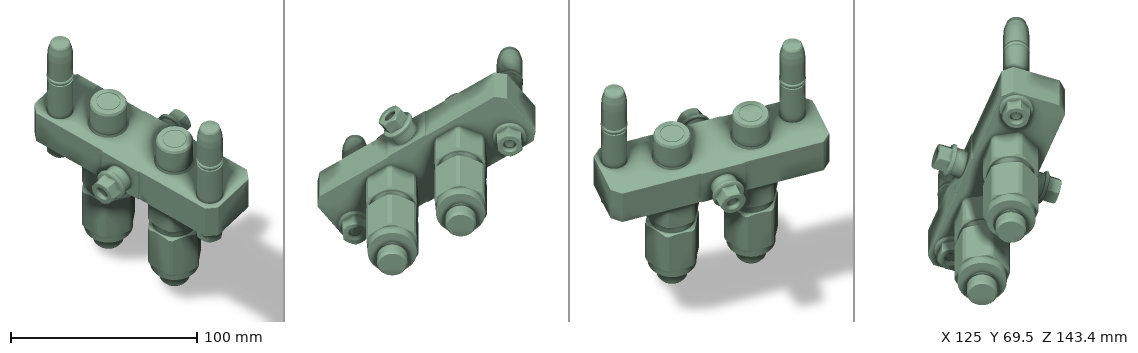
import cadquery as cq
import math

plate_length = 125.0
plate_width = 36.5
plate_thickness = 22.0
corner_cut = 5.0
edge_break = 0.2
pad_length = 25.0
pad_height = 0.5

left_pin_x = -49.1
pin_spacing = 101.8
pin_y = -8.0
pin_radius = 7.0
pin_height = 52.2
pin_taper_start = 42.4
pin_taper_middle = 47.2
pin_taper_middle_radius = 6.5
pin_taper_end = 51.4
pin_taper_end_radius = 5.4
pin_tip_radius = 4.7
pin_relief = 0.6
ring_groove_height = 26.7
ring_groove_width = 4.2
ring_groove_radius = 6.4
ring_outer_radius = 7.25
ring_section_radius = 1.1

nut_height = 9.25
nut_across_flats = 13.0
nut_flange_radius = 8.95
nut_flange_foot_chamfer = 0.4
nut_flange_rim_top = 1.5
nut_flange_shoulder_radius = 8.3
nut_flange_shoulder_height = 2.0
nut_cone_radius = 6.4
nut_cone_height = 2.45
nut_end_radius = 6.55
nut_crown_height = 0.85
nut_bore_radius = 3.35
nut_bore_countersink = 0.75
stud_end_depth = 2.0
stud_end_chamfer = 1.0

stud_z = 10.0
stud_radius = 4.0
stud_length = 69.5
spool_radius = 7.5
spool_chamfer = 0.4

coupling_spacing = 45.0
shank_radius = 10.4
shank_groove_radius = 9.5
shank_groove_height = 1.3
shank_countersink = 0.8
spigot_radius = 10.0
spigot_height = 16.5
spigot_chamfer = 0.7
spigot_chamfer_height = 1.3
poppet_radius = 6.1
poppet_gap_radius = 6.6
poppet_gap_depth = 0.4

hex_across_flats = 27.0
hex_corner_radius = 15.0
hex_end_radius = 13.6
hex_foot_radius = 14.2
upper_hex_bottom = -19.6
lower_hex_top = -25.1
lower_hex_bottom = -52.7
waist_radius = 12.5
collar_radius = 13.25
collar_bottom = -58.2
collar_chamfer = 0.2

tail_bottom = -69.2
tail_radius = 8.2
tail_end_radius = 7.2
tail_bottom_chamfer_height = 1.4
tail_top_chamfer_height = 1.1
tail_length = 8.0
tail_shoulder_radius = 6.9
tail_shoulder_length = 1.0
tail_neck_radius = 6.5

pin_xs = [left_pin_x, left_pin_x + pin_spacing]
coupling_xs = [-coupling_spacing / 2, coupling_spacing / 2]
pad_face_y = plate_width / 2 + pad_height
spool_length = stud_length / 2 - nut_height - pad_face_y
crown_slope = math.tan(math.radians(30))


def cylinder(radius, bottom, top):
    """Round bar on the Z axis between two heights."""
    return cq.Workplane("XY").workplane(offset=bottom).circle(radius).extrude(top - bottom)


def revolved(outline):
    """Turn a closed (radius, height) outline about the Z axis."""
    return cq.Workplane("XZ").polyline(outline).close().revolve(360, (0, 0, 0), (0, 1, 0))


def hexagon(across_flats, outline):
    """Hexagon bar with corners on X, trimmed to a turned (radius, height) outline."""
    heights = [height for _, height in outline]
    corner_diameter = across_flats / math.cos(math.radians(30))
    bar = cq.Workplane("XY").workplane(offset=min(heights)).polygon(6, corner_diameter)
    return bar.extrude(max(heights) - min(heights)).intersect(revolved(outline))


def crown_height(corner_radius, end_radius):
    """Height of the cone that turns the corners of a hexagon down to its end radius."""
    return (corner_radius - end_radius) * crown_slope


def flange_nut():
    """Flange nut seated at Z = 0 and pointing up, its bore closed by a recessed stud end."""
    flange = revolved([
        (0, 0),
        (nut_flange_radius - nut_flange_foot_chamfer, 0),
        (nut_flange_radius, nut_flange_foot_chamfer),
        (nut_flange_radius, nut_flange_rim_top),
        (nut_flange_shoulder_radius, nut_flange_shoulder_height),
        (nut_cone_radius, nut_cone_height),
        (0, nut_cone_height),
    ])
    corner_radius = nut_across_flats / 2 / math.cos(math.radians(30))
    head = hexagon(nut_across_flats, [
        (0, 0),
        (corner_radius, 0),
        (corner_radius, nut_height - nut_crown_height),
        (nut_end_radius, nut_height),
        (0, nut_height),
    ])
    stud_end = nut_height - stud_end_depth
    bore = revolved([
        (0, nut_height),
        (nut_bore_radius + nut_bore_countersink, nut_height),
        (nut_bore_radius, nut_height - nut_bore_countersink),
        (nut_bore_radius, stud_end - stud_end_chamfer),
        (nut_bore_radius - stud_end_chamfer, stud_end),
        (0, stud_end),
    ])
    return flange.union(head).cut(bore)


def guide_pin():
    """Round pin standing on Z = 0 with a tapered tip and a sealing ring in a groove."""
    groove_bottom = ring_groove_height - ring_groove_width / 2
    groove_top = ring_groove_height + ring_groove_width / 2
    shaft = (
        cq.Workplane("XZ")
        .moveTo(0, 0)
        .lineTo(pin_radius, 0)
        .lineTo(pin_radius, groove_bottom)
        .lineTo(ring_groove_radius, groove_bottom)
        .lineTo(ring_groove_radius, groove_top)
        .lineTo(pin_radius, groove_top)
        .lineTo(pin_radius, pin_taper_start)
        .tangentArcPoint((pin_taper_middle_radius, pin_taper_middle), relative=False)
        .lineTo(pin_taper_end_radius, pin_taper_end)
        .lineTo(pin_tip_radius, pin_height)
        .lineTo(0, pin_height)
        .close()
        .revolve(360, (0, 0, 0), (0, 1, 0))
    )
    seal_ring = (
        cq.Workplane("XZ")
        .center(ring_outer_radius - ring_section_radius, ring_groove_height)
        .circle(ring_section_radius)
        .revolve(360, (ring_section_radius - ring_outer_radius, 0, 0),
                 (ring_section_radius - ring_outer_radius, 1, 0))
    )
    return shaft.union(seal_ring)


def plate_blank():
    """Corner-cut plate with a low pad on each long side and lightly broken edges."""
    body = (
        cq.Workplane("XY")
        .rect(plate_length, plate_width)
        .extrude(plate_thickness)
        .edges("|Z")
        .chamfer(corner_cut)
    )
    pads = cq.Workplane("XY").rect(pad_length, 2 * pad_face_y).extrude(plate_thickness)
    return body.union(pads).faces("<Z or >Z").edges().chamfer(edge_break)


def countersunk_hole(radius, depth):
    """Through hole on the Z axis, countersunk at the top face of the plate."""
    return revolved([
        (0, 0),
        (radius, 0),
        (radius, plate_thickness - depth),
        (radius + depth, plate_thickness),
        (0, plate_thickness),
    ])


def build_plate():
    plate = plate_blank()
    for x in coupling_xs:
        plate = plate.cut(countersunk_hole(shank_radius, shank_countersink).translate((x, 0, 0)))
    stud_hole = cq.Workplane("XZ").center(0, stud_z).circle(stud_radius).extrude(pad_face_y, both=True)
    plate = plate.cut(stud_hole)

    pin_core = cylinder(pin_radius, 0, plate_thickness)
    pin_relief_groove = countersunk_hole(pin_radius, pin_relief).cut(pin_core)
    nut = flange_nut().rotate((0, 0, 0), (1, 0, 0), 180)
    for x in pin_xs:
        plate = plate.cut(pin_relief_groove.translate((x, pin_y, 0)))
        plate = plate.union(guide_pin().translate((x, pin_y, plate_thickness)))
        plate = plate.union(nut.translate((x, pin_y, 0)))
    return plate


def spool_and_nut():
    """Spool and flange nut standing on Z = 0."""
    spool = cylinder(spool_radius, 0, spool_length).faces("<Z or >Z").edges().chamfer(spool_chamfer)
    return spool.union(flange_nut().translate((0, 0, spool_length)))


def build_cross_stud():
    stud = cq.Workplane("XZ").circle(stud_radius).extrude(pad_face_y, both=True)
    for side in (-1, 1):
        end = spool_and_nut().rotate((0, 0, 0), (1, 0, 0), -90 * side)
        stud = stud.union(end.translate((0, side * pad_face_y, 0)))
    return stud.translate((0, 0, stud_z))


def coupling_top():
    """Shank through the plate and the spigot above it, with the poppet in its end face."""
    groove_top = plate_thickness + shank_groove_height
    top = plate_thickness + spigot_height
    shank_chamfer = shank_radius - shank_groove_radius
    body = revolved([
        (0, 0),
        (shank_radius, 0),
        (shank_radius, plate_thickness - shank_chamfer),
        (shank_groove_radius, plate_thickness),
        (shank_groove_radius, groove_top),
        (spigot_radius, groove_top),
        (spigot_radius, top - spigot_chamfer_height),
        (spigot_radius - spigot_chamfer, top),
        (0, top),
    ])
    gap = cylinder(poppet_gap_radius, top - poppet_gap_depth, top)
    gap = gap.cut(cylinder(poppet_radius, top - poppet_gap_depth, top))
    return body.cut(gap)


def upper_hexagon():
    """Hexagon against the plate underside, crowned at its lower end only."""
    return hexagon(hex_across_flats, [
        (0, upper_hex_bottom),
        (hex_end_radius, upper_hex_bottom),
        (hex_corner_radius, upper_hex_bottom + crown_height(hex_corner_radius, hex_end_radius)),
        (hex_corner_radius, 0),
        (0, 0),
    ])


def lower_hexagon():
    """Hexagon between the waist and the collar, crowned at both ends."""
    return hexagon(hex_across_flats, [
        (0, lower_hex_bottom),
        (hex_foot_radius, lower_hex_bottom),
        (hex_corner_radius, lower_hex_bottom + crown_height(hex_corner_radius, hex_foot_radius)),
        (hex_corner_radius, lower_hex_top - crown_height(hex_corner_radius, hex_end_radius)),
        (hex_end_radius, lower_hex_top),
        (0, lower_hex_top),
    ])


def coupling_tail():
    """Collar, necked stem and chamfered end below the lower hexagon."""
    tail_top = tail_bottom + tail_length
    shoulder_bottom = collar_bottom - tail_shoulder_length
    return revolved([
        (0, lower_hex_bottom),
        (collar_radius, lower_hex_bottom),
        (collar_radius, collar_bottom + collar_chamfer),
        (collar_radius - collar_chamfer, collar_bottom),
        (tail_shoulder_radius, collar_bottom),
        (tail_shoulder_radius, shoulder_bottom),
        (tail_neck_radius, shoulder_bottom),
        (tail_neck_radius, tail_top),
        (tail_end_radius, tail_top),
        (tail_radius, tail_top - tail_top_chamfer_height),
        (tail_radius, tail_bottom + tail_bottom_chamfer_height),
        (tail_end_radius, tail_bottom),
        (0, tail_bottom),
    ])


def build_coupling():
    waist = cylinder(waist_radius, lower_hex_top, upper_hex_bottom)
    sections = [upper_hexagon(), waist, lower_hexagon(), coupling_tail()]
    coupling = coupling_top()
    for section in sections:
        coupling = coupling.union(section)
    return coupling


plate = build_plate()
cross_stud = build_cross_stud()
couplings = [build_coupling().translate((x, 0, 0)) for x in coupling_xs]

result = cq.Compound.makeCompound([
    plate.val(),
    cross_stud.val(),
    *[coupling.val() for coupling in couplings],
])